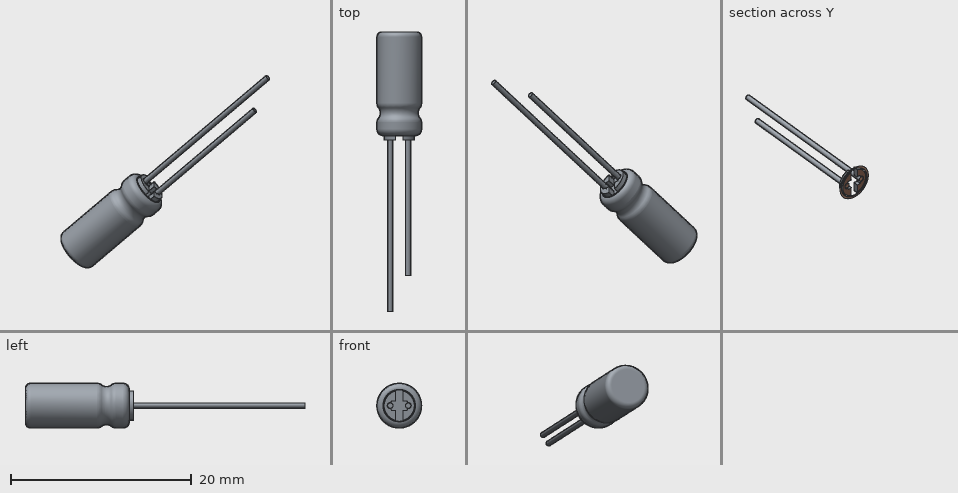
import cadquery as cq
import math

total_length = 31.0
can_diameter = 5.0
can_radius = can_diameter / 2
can_length = 11.53
can_back = total_length / 2
can_front = can_back - can_length

sleeve_thickness = 0.1
sleeve_opening_radius = 1.8
back_round = 0.6
front_round = 0.7
groove_depth = 0.37
groove_half_width = 1.02
neck_arc_share = 0.55
groove_from_front = 2.55

opening_radius = 1.75
pad_radius = 1.67
lead_hole_radius = 0.35
seal_protrusion = 0.45
seal_height = 3.0
channel_half_width = 0.4
channel_depth = 0.85
pocket_radius = 1.0
pocket_half_height = 0.53

lead_radius = 0.3
lead_offset = 1.0
long_lead_tip = -total_length / 2
lead_length_difference = 3.97
short_lead_tip = long_lead_tip + lead_length_difference

seal_front = can_front - seal_protrusion
seal_back = seal_front + seal_height
channel_floor = seal_front + channel_depth


def cylinder(radius, y_start, y_end, x=0.0):
    """Cylinder along Y between two Y positions."""
    start = cq.Vector(x, y_start, 0)
    return cq.Workplane(cq.Solid.makeCylinder(radius, y_end - y_start, start, cq.Vector(0, 1, 0)))


def make_shell(inset):
    """Solid can form with a crimped groove and rounded ends, offset inward by inset."""
    arc_radius_sum = (groove_half_width**2 + groove_depth**2) / (2 * groove_depth)
    shoulder_radius = (1 - neck_arc_share) * arc_radius_sum
    neck_arc_radius = neck_arc_share * arc_radius_sum
    arc_angle = math.asin(groove_half_width / arc_radius_sum)

    inset_shoulder = shoulder_radius - inset
    meet_radius = can_radius - shoulder_radius + inset_shoulder * math.cos(arc_angle)
    meet_offset = (neck_arc_radius + inset) * math.sin(arc_angle)
    outer_radius = can_radius - inset
    neck_radius = outer_radius - groove_depth
    groove_y = can_front + groove_from_front
    front = can_front + inset
    back = can_back - inset

    shell = (
        cq.Workplane("XY")
        .moveTo(0, front)
        .lineTo(outer_radius, front)
        .lineTo(outer_radius, groove_y - groove_half_width)
        .radiusArc((meet_radius, groove_y - meet_offset), -inset_shoulder)
        .threePointArc((neck_radius, groove_y), (meet_radius, groove_y + meet_offset))
        .radiusArc((outer_radius, groove_y + groove_half_width), -inset_shoulder)
        .lineTo(outer_radius, back)
        .lineTo(0, back)
        .close()
        .revolve(360, (0, 0, 0), (0, 1, 0))
    )
    shell = shell.faces(">Y").edges().fillet(back_round - inset)
    return shell.faces("<Y").edges().fillet(front_round - inset)


def make_sleeve():
    """Thin skin around the can, open at the lead end."""
    return make_shell(0).cut(make_shell(sleeve_thickness)).cut(
        cylinder(sleeve_opening_radius, can_front, can_front + front_round)
    )


def make_can():
    """Can inside the sleeve, bored for the seal."""
    return make_shell(sleeve_thickness).cut(cylinder(opening_radius, can_front, seal_back))


def make_seal():
    """Plug with two raised pads, separated by a channel with a pocket between the leads."""
    plug = cylinder(opening_radius, channel_floor, seal_back)
    pads = cylinder(pad_radius, seal_front, channel_floor)
    channel = cq.Workplane("XY").box(2 * channel_half_width, 2 * channel_depth, 2 * can_radius)
    channel = channel.translate((0, seal_front, 0))
    band = cq.Workplane("XY").box(2 * can_radius, 2 * channel_depth, 2 * pocket_half_height)
    pocket = cylinder(pocket_radius, seal_front, channel_floor).intersect(band.translate((0, seal_front, 0)))
    seal = plug.union(pads.cut(channel).cut(pocket))
    for x in (-lead_offset, lead_offset):
        seal = seal.cut(cylinder(lead_hole_radius, seal_front, channel_floor, x))
    return seal


def make_lead(x, tip):
    """Straight wire from its free tip to the floor of the seal's channel."""
    return cylinder(lead_radius, tip, channel_floor, x)


sleeve = make_sleeve()
can = make_can()
seal = make_seal()
leads = [make_lead(x, tip) for x, tip in ((-lead_offset, long_lead_tip), (lead_offset, short_lead_tip))]
result = cq.Compound.makeCompound([sleeve.val(), can.val(), seal.val(), *[lead.val() for lead in leads]])